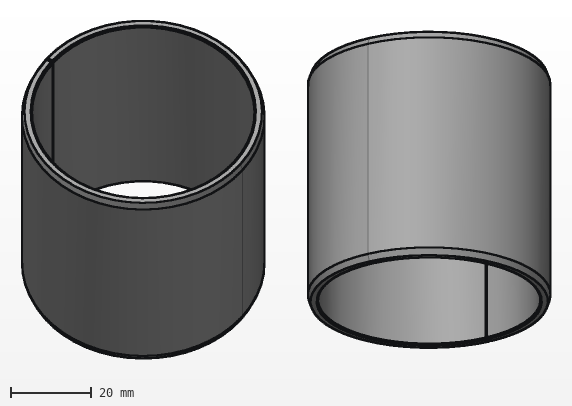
import cadquery as cq

length = 60.0
outer_diameter = 60.0
wall = 2.5
outer_chamfer_height = 1.8
outer_chamfer_width = 0.65
bore_chamfer = 0.35
slit_width = 0.55

outer_radius = outer_diameter / 2
bore_radius = outer_radius - wall


def bush_body():
    """Revolve the wall section, bevelled at both ends inside and out."""
    section = [
        (bore_radius, bore_chamfer),
        (bore_radius + bore_chamfer, 0),
        (outer_radius - outer_chamfer_width, 0),
        (outer_radius, outer_chamfer_height),
        (outer_radius, length - outer_chamfer_height),
        (outer_radius - outer_chamfer_width, length),
        (bore_radius + bore_chamfer, length),
        (bore_radius, length - bore_chamfer),
    ]
    return cq.Workplane("XZ").polyline(section).close().revolve(360, (0, 0, 0), (0, 1, 0))


def slit():
    """Full-length cut through the -X wall, with one face on the Y = 0 plane."""
    return cq.Workplane("XY").box(
        outer_diameter, slit_width, length, centered=(True, False, False)
    ).translate((-outer_radius, 0, 0))


result = bush_body().cut(slit())